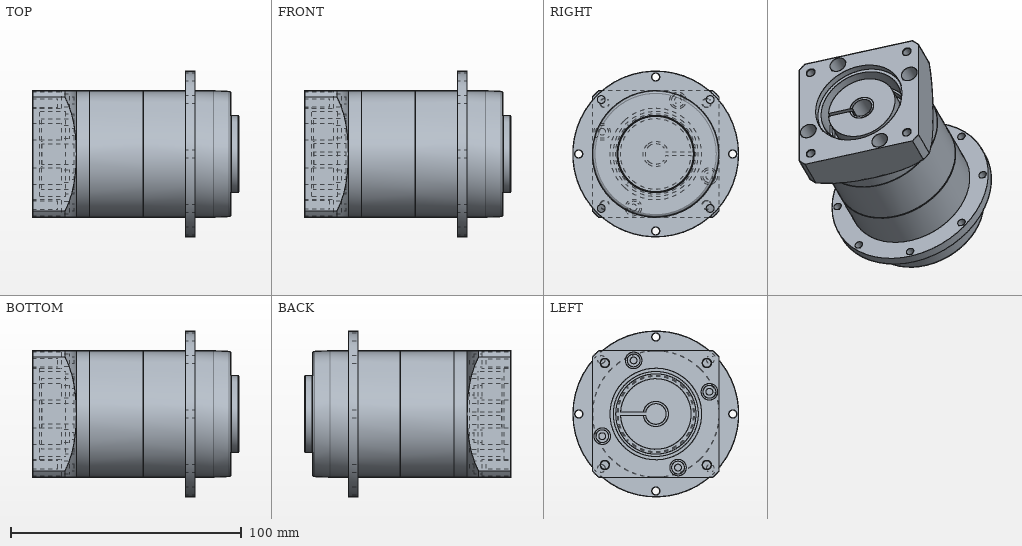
import cadquery as cq
import math

length = 89.5
plate_corner_x = 14.05
plate_end_x = 19.0
adapter_end_x = 24.6
body_joint_center_x = 48.0
flange_x = 66.2
flange_thickness = 4.3
taper_start_x = 78.5
body_end_x = 86.0

body_diameter = 54.95
plate_corner_radius = 37.0
plate_back_arc_radius = 28.6
body_end_diameter = 54.3
body_end_fillet = 0.9
flange_diameter = 72.0
hub_diameter = 33.6
hub_chamfer = 0.45

joint_width = 0.4
adapter_joint_width = 0.2
joint_depth = 0.1
ring_clearance = 0.9

flange_hole_count = 8
flange_hole_diameter = 3.4
flange_hole_circle = 66.8

pilot_diameter = 39.7
pilot_depth = 3.0
inner_bore_diameter = 36.9
inner_bore_depth = 14.3
floor_bore_diameter = 34.8
floor_bore_depth = 17.9
clamp_diameter = 30.6
clamp_face_x = 3.85
shaft_bore_diameter = 8.95
shaft_recess_diameter = 10.9
shaft_recess_depth = 0.2
clamp_slot_width = 1.5

corner_hole_diameter = 3.7
corner_hole_spacing = 44.2
corner_hole_depth = 10.7
corner_hole_chamfer = 0.2

screw_hole_count = 4
screw_circle = 50.3
screw_circle_angle = 67.5
screw_steps = ((7.2, 12.5), (5.55, 16.1), (2.95, 17.9))


def disc(diameter, start_x, end_x):
    """Round bar about the X axis between two stations."""
    return cq.Workplane("YZ", origin=(start_x, 0, 0)).circle(diameter / 2).extrude(end_x - start_x)


def drills(diameter, start_x, end_x, points):
    """Parallel X-direction cutters at the given (Y, Z) points."""
    plane = cq.Workplane("YZ", origin=(start_x, 0, 0))
    return plane.pushPoints(points).circle(diameter / 2).extrude(end_x - start_x)


def circle_points(diameter, count, first_angle):
    """Evenly spaced (Y, Z) points on a circle, angles in degrees."""
    angles = [math.radians(first_angle + 360 / count * i) for i in range(count)]
    return [(diameter / 2 * math.cos(a), diameter / 2 * math.sin(a)) for a in angles]


def motor_plate():
    """Square plate whose corners and crowned back come from a turned blank."""
    blank = (
        cq.Workplane("XY")
        .lineTo(0, plate_corner_radius)
        .lineTo(plate_corner_x, plate_corner_radius)
        .radiusArc((plate_end_x, body_diameter / 2), plate_back_arc_radius)
        .lineTo(plate_end_x, 0)
        .close()
        .revolve(360, (0, 0, 0), (1, 0, 0))
    )
    square = cq.Workplane("YZ").rect(body_diameter, body_diameter).extrude(plate_end_x)
    return blank.intersect(square)


def round_body():
    """Cylinder with a slightly tapered, rounded nose, mounting flange and output hub."""
    cylinder = disc(body_diameter, plate_end_x, taper_start_x)
    nose = (
        cq.Workplane("YZ", origin=(taper_start_x, 0, 0))
        .circle(body_diameter / 2)
        .workplane(offset=body_end_x - taper_start_x)
        .circle(body_end_diameter / 2)
        .loft()
        .faces(">X")
        .edges()
        .fillet(body_end_fillet)
    )
    flange = disc(flange_diameter, flange_x, flange_x + flange_thickness)
    hub = disc(hub_diameter, body_end_x, length).faces(">X").chamfer(hub_chamfer)
    return cylinder.union(nose).union(flange).union(hub)


def joint_groove(diameter, start_x, width):
    """Shallow ring cutter marking a joint on a turned surface."""
    end_x = start_x + width
    return disc(diameter + ring_clearance, start_x, end_x).cut(disc(diameter - 2 * joint_depth, start_x, end_x))


def pilot_cavity():
    """Stepped motor bore, leaving the clamping hub standing in the middle."""
    cavity = disc(pilot_diameter, 0, pilot_depth)
    cavity = cavity.union(disc(inner_bore_diameter, 0, inner_bore_depth))
    cavity = cavity.union(disc(floor_bore_diameter, 0, floor_bore_depth))
    return cavity.cut(disc(clamp_diameter, clamp_face_x, floor_bore_depth))


def shaft_clamp_cut():
    """Shaft bore with a shallow face recess and a slot towards +Y, as deep as the cavity."""
    bore = disc(shaft_bore_diameter, clamp_face_x, floor_bore_depth)
    recess = disc(shaft_recess_diameter, clamp_face_x, clamp_face_x + shaft_recess_depth)
    slot = cq.Workplane("XY").box(
        floor_bore_depth - clamp_face_x, clamp_diameter / 2, clamp_slot_width, centered=(False, False, True)
    ).translate((clamp_face_x, 0, 0))
    return bore.union(recess).union(slot)


def cut_corner_holes(part):
    """Four blind holes with a small entry chamfer."""
    half = corner_hole_spacing / 2
    points = [(y, z) for y in (-half, half) for z in (-half, half)]
    part = part.cut(drills(corner_hole_diameter, 0, corner_hole_depth, points))
    entry_radius = corner_hole_diameter / 2 + corner_hole_chamfer
    for y, z in points:
        cone = cq.Solid.makeCone(
            entry_radius, corner_hole_diameter / 2, corner_hole_chamfer, cq.Vector(0, y, z), cq.Vector(1, 0, 0)
        )
        part = part.cut(cq.Workplane(cone))
    return part


def cut_screw_holes(part):
    """Stepped holes for the housing screws, turned off the plate diagonals."""
    points = circle_points(screw_circle, screw_hole_count, screw_circle_angle)
    for diameter, depth in screw_steps:
        part = part.cut(drills(diameter, 0, depth, points))
    return part


def cut_flange_holes(part):
    """Ring of through holes in the mounting flange."""
    points = circle_points(flange_hole_circle, flange_hole_count, 0)
    return part.cut(drills(flange_hole_diameter, flange_x, flange_x + flange_thickness, points))


result = motor_plate().union(round_body())
result = result.cut(joint_groove(body_diameter, adapter_end_x, adapter_joint_width))
result = result.cut(joint_groove(body_diameter, body_joint_center_x - joint_width / 2, joint_width))
result = result.cut(joint_groove(hub_diameter, body_end_x, joint_width))
result = result.cut(pilot_cavity())
result = result.cut(shaft_clamp_cut())
result = cut_corner_holes(result)
result = cut_screw_holes(result)
result = cut_flange_holes(result)